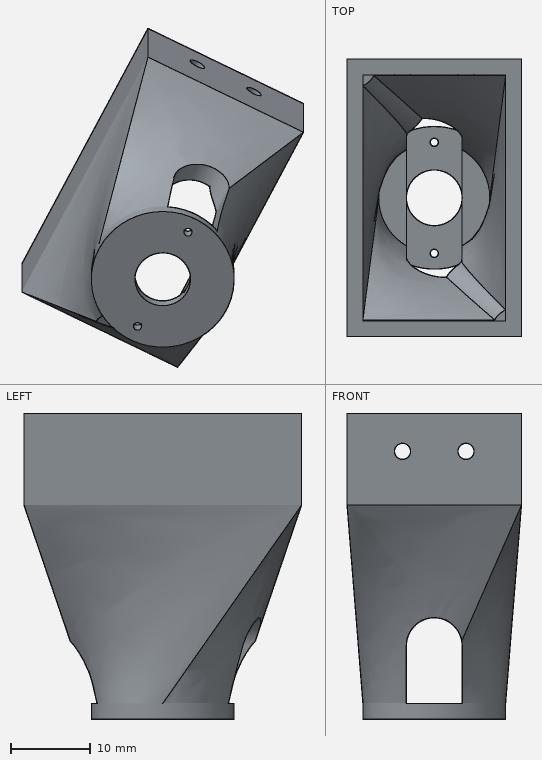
import cadquery as cq
import math

socket_width = 22.0
socket_length = 35.0
socket_height = 11.58
wall = 2.0

base_radius = 9.0
base_thickness = 2.0
bore_radius = 3.5
base_screw_radius = 0.5
base_screw_offset = 7.0

transition_height = 25.0
transition_top = base_thickness + transition_height
total_height = transition_top + socket_height

cavity_floor = base_thickness + wall
width_slope = math.atan((socket_width / 2 - base_radius) / transition_height)
length_slope = math.atan((socket_length / 2 - base_radius) / transition_height)
cavity_width = socket_width - 2 * wall / math.cos(width_slope)
cavity_length = socket_length - 2 * wall / math.cos(length_slope)
ridge_core_radius = 3.5

slot_width = 7.0
slot_arch_height = 10.8

cross_hole_radius = 1.0
cross_hole_offset = 4.0
cross_hole_depth_from_top = 4.8


def circle_point(radius, degrees, z):
    angle = math.radians(degrees)
    return cq.Vector(radius * math.cos(angle), radius * math.sin(angle), z)


def twisted_transition(radius, width, length, bottom):
    """Solid ruled from a circle to a rectangle, each quarter arc joined to one side.

    The arcs start on the X axis and the sides at the corners, so the walls twist.
    """
    corners = [
        cq.Vector(x_side * width / 2, y_side * length / 2, transition_top)
        for x_side, y_side in ((-1, -1), (1, -1), (1, 1), (-1, 1))
    ]
    arcs = []
    sides = []
    for i, corner in enumerate(corners):
        start = 180 + 90 * i
        arc_points = [circle_point(radius, start + turn, bottom) for turn in (0, 45, 90)]
        arcs.append(cq.Edge.makeThreePointArc(*arc_points))
        sides.append(cq.Edge.makeLine(corner, corners[(i + 1) % 4]))
    faces = [cq.Face.makeRuledSurface(arc, side) for arc, side in zip(arcs, sides)]
    faces.append(cq.Face.makeFromWires(cq.Wire.assembleEdges(arcs)))
    faces.append(cq.Face.makeFromWires(cq.Wire.assembleEdges(sides)))
    solid = cq.Solid.makeSolid(cq.Shell.makeShell(faces)).fix()
    return cq.Workplane(obj=solid)


def ridge_core(side):
    """Round bar centred on the outer ridge from the Y end of the base circle to a socket corner."""
    start = cq.Vector(0, side * base_radius, base_thickness)
    corner = cq.Vector(-side * socket_width / 2, side * socket_length / 2, transition_top)
    ridge = corner - start
    return cq.Workplane(obj=cq.Solid.makeCylinder(ridge_core_radius, ridge.Length, start, ridge))


def transition_cavity():
    """Twisted cavity, with the two inner corners that start at its Y ends filled and rounded."""
    cavity = twisted_transition(base_radius - wall, cavity_width, cavity_length, cavity_floor)
    for side in (-1, 1):
        cavity = cavity.cut(ridge_core(side))
    return cavity


def socket_block(width, length):
    """Rectangular block from the top of the transition to the top of the part."""
    return (
        cq.Workplane()
        .workplane(offset=transition_top)
        .rect(width, length)
        .extrude(socket_height)
    )


def base_plate():
    return cq.Workplane().circle(base_radius).extrude(base_thickness)


def base_holes():
    """Central bore and two screw holes through the base plate."""
    bore = cq.Workplane().circle(bore_radius).extrude(base_thickness)
    screws = (
        cq.Workplane()
        .pushPoints([(0, -base_screw_offset), (0, base_screw_offset)])
        .circle(base_screw_radius)
        .extrude(base_thickness)
    )
    return bore.union(screws)


def arched_slot():
    """Round-topped slot along Y, cut down to the top of the base plate."""
    crown = base_thickness + slot_arch_height
    spring = crown - slot_width / 2
    return (
        cq.Workplane("XZ")
        .moveTo(-slot_width / 2, base_thickness)
        .lineTo(slot_width / 2, base_thickness)
        .lineTo(slot_width / 2, spring)
        .threePointArc((0, crown), (-slot_width / 2, spring))
        .close()
        .extrude(socket_length / 2, both=True)
    )


def cross_holes():
    """Pair of holes along Y through both short socket walls."""
    z = total_height - cross_hole_depth_from_top
    return (
        cq.Workplane("XZ")
        .pushPoints([(-cross_hole_offset, z), (cross_hole_offset, z)])
        .circle(cross_hole_radius)
        .extrude(socket_length / 2, both=True)
    )


inner_width = socket_width - 2 * wall
inner_length = socket_length - 2 * wall

outside = (
    base_plate()
    .union(twisted_transition(base_radius, socket_width, socket_length, base_thickness))
    .union(socket_block(socket_width, socket_length))
)
result = (
    outside
    .cut(transition_cavity())
    .cut(socket_block(inner_width, inner_length))
    .cut(base_holes())
    .cut(arched_slot())
    .cut(cross_holes())
)